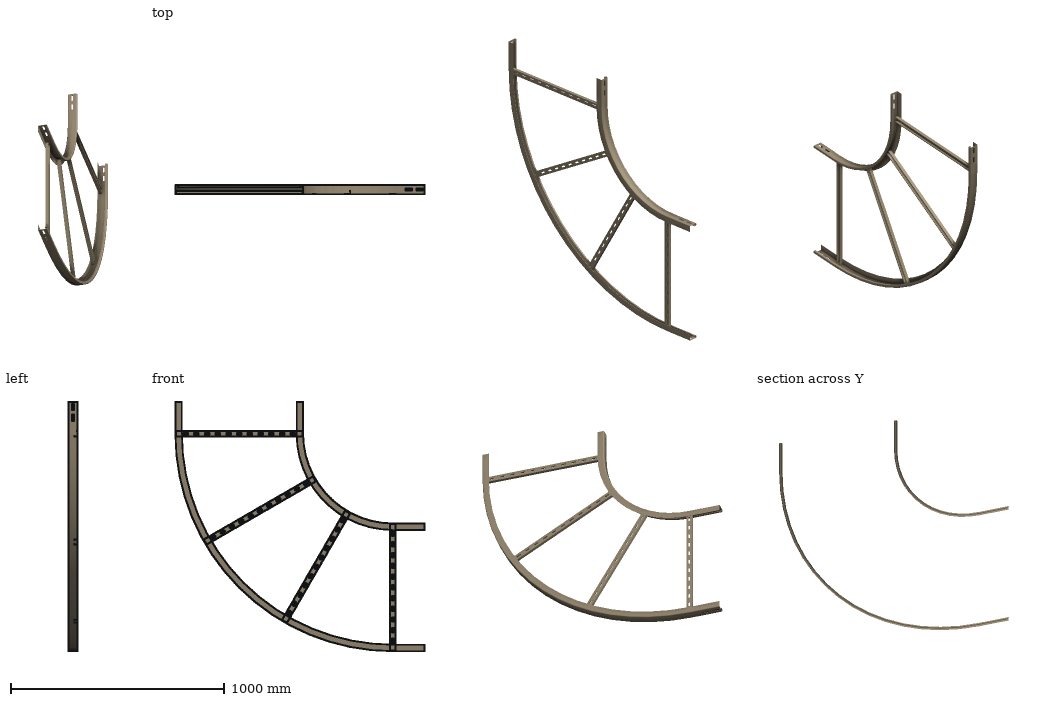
import cadquery as cq


overall_size = 1170.0
bend_angle = 90

rail_depth = 45.0
outer_radius = 1020.0
inner_radius = 420.0
straight_length = overall_size - outer_radius
sheet = 1.5
bend_radius = 4.0
front_flange = 32.0
back_flange = 14.0
back_lip = 11.1

end_slot_length = 29.0
end_slot_width = 8.8
end_slot_inset = 25.0
slot_pitch = 50.0
end_slot_count = 2

rung_count = 4
rung_width = 28.0
rung_depth = 15.0
rung_lip = 5.0
end_gap = 4.0
rung_slot_count = 11
rung_slot_length = 21.0
rung_slot_width = 7.0

front = -rail_depth / 2
back = rail_depth / 2


def rail_section(web_radius, side):
    """Bent-sheet section at the -X end of the bend; side is +1 if the flanges point away from the axis."""

    def at(from_web, y):
        """Point at a distance from the web's outside face, on the flange side."""
        return -(web_radius + side * from_web), y

    bend = bend_radius
    lip_end = back - back_lip
    return (
        cq.Workplane("XY")
        .moveTo(*at(front_flange, front))
        .lineTo(*at(bend, front))
        .tangentArcPoint(at(0, front + bend), relative=False)
        .lineTo(*at(0, back - bend))
        .tangentArcPoint(at(bend, back), relative=False)
        .lineTo(*at(back_flange - bend, back))
        .tangentArcPoint(at(back_flange, back - bend), relative=False)
        .lineTo(*at(back_flange, lip_end))
        .lineTo(*at(back_flange - sheet, lip_end))
        .lineTo(*at(back_flange - sheet, back - bend))
        .tangentArcPoint(at(back_flange - bend, back - sheet), relative=False)
        .lineTo(*at(bend, back - sheet))
        .tangentArcPoint(at(sheet, back - bend), relative=False)
        .lineTo(*at(sheet, front + bend))
        .tangentArcPoint(at(bend, front + sheet), relative=False)
        .lineTo(*at(front_flange, front + sheet))
        .close()
    )


def end_slots(web_radius):
    """Cutters for the slots through the web of the straight at the -X end."""
    heights = [straight_length - end_slot_inset - i * slot_pitch for i in range(end_slot_count)]
    return (
        cq.Workplane("YZ", origin=(-web_radius, 0, 0))
        .pushPoints([(0, height) for height in heights])
        .rect(end_slot_width, end_slot_length)
        .extrude(2 * bend_radius, both=True)
    )


def turn_to_far_end(body):
    """Carry a body from the -X end of the bend to the -Z end, as a mirror image."""
    return body.mirror("XY").rotate((0, 0, 0), (0, 1, 0), -bend_angle)


def make_rail(web_radius, side):
    straight = rail_section(web_radius, side).extrude(straight_length).cut(end_slots(web_radius))
    curve = rail_section(web_radius, side).revolve(bend_angle, (0, 0, 0), (0, -1, 0))
    return curve.union(straight, clean=False).union(turn_to_far_end(straight), clean=False)


def make_rung(angle):
    """Lipped channel rung lying on the front flanges, open to the back, ending just short of the webs."""
    start = inner_radius + sheet + end_gap
    end = outer_radius - sheet - end_gap
    length = end - start
    middle = (start + end) / 2
    rung_front = front + sheet

    channel = cq.Workplane("XY").box(length, rung_depth, rung_width, centered=(True, False, True))
    hollow = (
        cq.Workplane("XY", origin=(0, sheet, 0))
        .box(length, rung_depth - 2 * sheet, rung_width - 2 * sheet, centered=(True, False, True))
    )
    mouth = (
        cq.Workplane("XY", origin=(0, sheet, 0))
        .box(length, rung_depth, rung_width - 2 * rung_lip, centered=(True, False, True))
    )
    slots = (
        cq.Workplane("XZ")
        .rarray(slot_pitch, 12, rung_slot_count, 1)
        .rect(rung_slot_length, rung_slot_width)
        .extrude(-2 * sheet)
    )
    rung = channel.cut(hollow).cut(mouth).cut(slots).translate((-middle, rung_front, 0))
    return rung.rotate((0, 0, 0), (0, 1, 0), -angle)


outer_rail = make_rail(outer_radius, -1)
inner_rail = make_rail(inner_radius, 1)
rungs = [make_rung(i * bend_angle / (rung_count - 1)) for i in range(rung_count)]

result = cq.Compound.makeCompound([outer_rail.val(), inner_rail.val(), *[rung.val() for rung in rungs]])